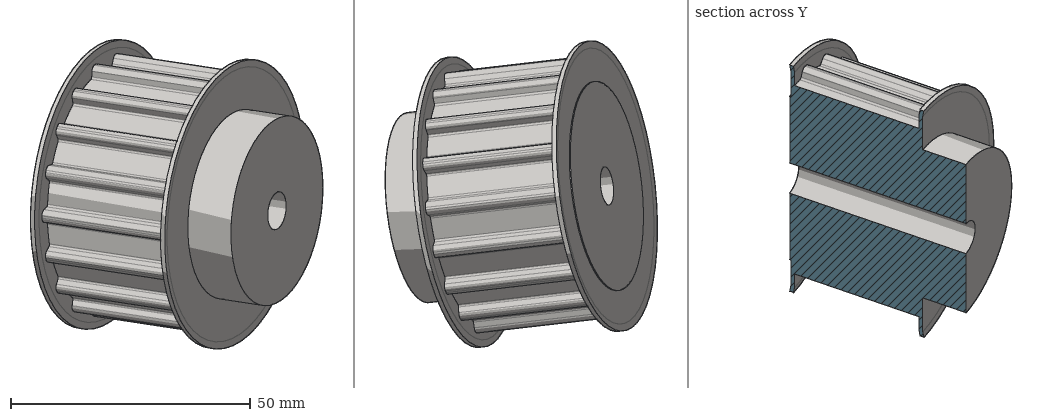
import math

import cadquery as cq

TOOTHED_WIDTH = 32.0
HUB_LENGTH = 10.0
TOTAL_LENGTH = TOOTHED_WIDTH + HUB_LENGTH

TOOTH_COUNT = 18
TIP_DIAMETER = 55.45
TIP_RADIUS = TIP_DIAMETER / 2
ROOT_RADIUS = 25.4
GROOVE_ANGLE = 50.0
TOOTH_TIP_WIDTH = 2.3
TIP_ROUNDING = 1.2
ROOT_FILLET = 0.5

FLANGE_RADIUS = 61.0 / 2
FLANGE_BEND_RADIUS = 29.0
FLANGE_THICKNESS = 1.0
RIM_OFFSET = 0.25

SPIGOT_RADIUS = 22.0
HUB_RADIUS = 40.0 / 2
BORE_RADIUS = 8.0 / 2

TOOTH_PITCH_ANGLE = 360.0 / TOOTH_COUNT
FLANGE_INNER_FACE = RIM_OFFSET + FLANGE_THICKNESS
TOOTH_LENGTH = TOOTHED_WIDTH - 2 * FLANGE_INNER_FACE
SELECTION_TOLERANCE = 0.01


def cylinder(radius, start, end):
    """Cylinder about the X axis between two axial positions."""
    return cq.Workplane("YZ", origin=(start, 0, 0)).circle(radius).extrude(end - start)


def tooth_blank():
    """Sharp-cornered trapezoidal tooth on the +Y side, from inside the root to beyond the tip."""
    flank_angle = math.radians(GROOVE_ANGLE / 2 - TOOTH_PITCH_ANGLE / 2)
    inner = SPIGOT_RADIUS
    outer = FLANGE_RADIUS
    inner_half = TOOTH_TIP_WIDTH / 2 + (TIP_RADIUS - inner) * math.tan(flank_angle)
    outer_half = TOOTH_TIP_WIDTH / 2 - (outer - TIP_RADIUS) * math.tan(flank_angle)
    outline = [(inner, -inner_half), (outer, -outer_half), (outer, outer_half), (inner, inner_half)]
    plane = cq.Workplane("YZ", origin=(FLANGE_INNER_FACE, 0, 0))
    return plane.polyline(outline).close().extrude(TOOTH_LENGTH)


def edges_at_radius(body, radius):
    """Axial edges of the body lying at the given distance from the X axis."""

    def lies_at_radius(edge):
        center = edge.Center()
        return abs(math.hypot(center.y, center.z) - radius) < SELECTION_TOLERANCE

    return body.edges("|X").filter(lies_at_radius)


def toothed_ring():
    """Root cylinder with evenly spaced teeth, rounded at their tips and filleted at their roots."""
    end = FLANGE_INNER_FACE + TOOTH_LENGTH
    ring = cylinder(ROOT_RADIUS, FLANGE_INNER_FACE, end)
    tip_cylinder = cylinder(TIP_RADIUS, FLANGE_INNER_FACE, end)
    tooth = tooth_blank().intersect(tip_cylinder)
    tooth = edges_at_radius(tooth, TIP_RADIUS).fillet(TIP_ROUNDING)
    for index in range(TOOTH_COUNT):
        ring = ring.union(tooth.rotate((0, 0, 0), (1, 0, 0), index * TOOTH_PITCH_ANGLE))
    return edges_at_radius(ring, ROOT_RADIUS).fillet(ROOT_FILLET)


def flange():
    """Flange at the -X end: a flat disc with its rim bent towards -X."""
    profile = [
        (RIM_OFFSET, 0),
        (RIM_OFFSET, FLANGE_BEND_RADIUS),
        (0, FLANGE_RADIUS),
        (FLANGE_THICKNESS, FLANGE_RADIUS),
        (FLANGE_INNER_FACE, FLANGE_BEND_RADIUS),
        (FLANGE_INNER_FACE, 0),
    ]
    return cq.Workplane("XY").polyline(profile).close().revolve(360, (0, 0, 0), (1, 0, 0))


near_flange = flange()
far_flange = near_flange.mirror("YZ").translate((TOOTHED_WIDTH, 0, 0))
spigot = cylinder(SPIGOT_RADIUS, 0, FLANGE_INNER_FACE)
hub = cylinder(HUB_RADIUS, TOOTHED_WIDTH - FLANGE_INNER_FACE, TOTAL_LENGTH)
bore = cylinder(BORE_RADIUS, 0, TOTAL_LENGTH)

result = toothed_ring().union(near_flange).union(far_flange).union(spigot).union(hub).cut(bore)